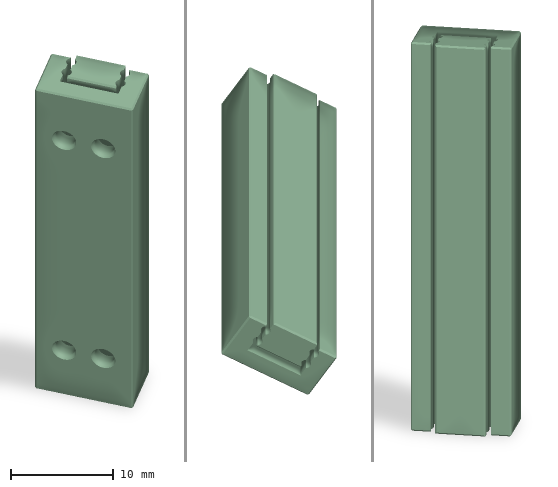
import cadquery as cq

LENGTH = 40.0
RAIL_WIDTH = 10.0
TOTAL_DEPTH = 6.0
RAIL_DEPTH = 5.5
WEB_THICKNESS = 1.8
CHANNEL_WIDTH = 6.0
CARRIAGE_WIDTH = 5.0
CARRIAGE_DEPTH = 3.4
EDGE_CHAMFER = 0.15

RACEWAY_DIAMETER = 1.0
RACEWAY_SPACING = 1.5
OUTER_RACEWAY_Y = 4.8
RACEWAY_X = (CHANNEL_WIDTH + CARRIAGE_WIDTH) / 4

HOLE_DIAMETER = 2.0
HOLE_CHAMFER = 0.25
HOLE_CHAMFER_DEPTH = 0.4
HOLE_SPACING_X = 4.0
HOLE_SPACING_Z = 28.0
BLIND_HOLE_DEPTH = 1.5


def box_between_y(width, back_y, front_y):
    """Full-length block, centred on X, between two Y levels."""
    block = cq.Workplane("XY").box(width, front_y - back_y, LENGTH, centered=(True, False, False))
    return block.translate((0, back_y, 0))


def make_raceways():
    """Four full-length round cutters for the ball grooves."""
    places = [
        (side * RACEWAY_X, y)
        for side in (-1, 1)
        for y in (OUTER_RACEWAY_Y, OUTER_RACEWAY_Y - RACEWAY_SPACING)
    ]
    return cq.Workplane("XY").pushPoints(places).circle(RACEWAY_DIAMETER / 2).extrude(LENGTH)


def make_mounting_hole(x, z, depth):
    """Cutter for a hole from the back face, with a chamfered mouth."""
    back = cq.Workplane("XZ", origin=(x, 0, z))
    drill = back.circle(HOLE_DIAMETER / 2).extrude(-depth)
    mouth = cq.Solid.makeCone(
        HOLE_DIAMETER / 2 + HOLE_CHAMFER,
        HOLE_DIAMETER / 2,
        HOLE_CHAMFER_DEPTH,
        pnt=cq.Vector(x, 0, z),
        dir=cq.Vector(0, 1, 0),
    )
    return drill.union(cq.Workplane(mouth))


def make_rail():
    """U-shaped outer rail with raceways and mounting holes."""
    rail = box_between_y(RAIL_WIDTH, 0, RAIL_DEPTH).edges().chamfer(EDGE_CHAMFER)
    rail = rail.cut(box_between_y(CHANNEL_WIDTH, WEB_THICKNESS, RAIL_DEPTH))
    rail = rail.cut(make_raceways())
    for x, depth in ((-HOLE_SPACING_X / 2, WEB_THICKNESS), (HOLE_SPACING_X / 2, BLIND_HOLE_DEPTH)):
        for side in (-1, 1):
            z = LENGTH / 2 + side * HOLE_SPACING_Z / 2
            rail = rail.cut(make_mounting_hole(x, z, depth))
    return rail


def make_carriage():
    """Inner carriage, floating in the channel."""
    carriage = box_between_y(CARRIAGE_WIDTH, TOTAL_DEPTH - CARRIAGE_DEPTH, TOTAL_DEPTH)
    carriage = carriage.faces(">Y").chamfer(EDGE_CHAMFER)
    carriage = carriage.faces("<Y").edges("|X").chamfer(EDGE_CHAMFER)
    return carriage.cut(make_raceways())


rail = make_rail()
carriage = make_carriage()
result = cq.Compound.makeCompound([rail.val(), carriage.val()])